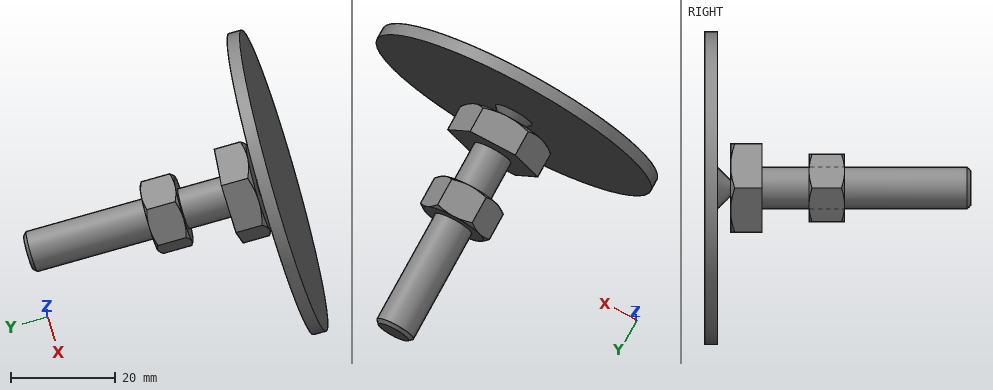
import cadquery as cq
import math

total_length = 51.0

plate_diameter = 60.0
plate_thickness = 2.5

neck_length = 2.5
neck_tip_diameter = 3.0
neck_base_diameter = neck_tip_diameter + 2 * neck_length

head_across_flats = 17.0
head_height = 6.0

thread_diameter = 8.0
thread_end_chamfer = 0.7

nut_across_flats = 13.0
nut_height = 6.8
nut_gap_from_head = 9.0

hex_sides = 6
corner_chamfer_angle = 30.0

head_start = plate_thickness + neck_length
head_end = head_start + head_height
nut_start = head_end + nut_gap_from_head


def section_plane(y_position):
    """Workplane square to the Y axis, with its normal toward +Y."""
    return cq.Workplane("XZ", origin=(0, y_position, 0)).transformed(rotate=(180, 0, 0))


def revolve_about_y(profile):
    """Turn a closed (radius, y) profile about the Y axis."""
    return cq.Workplane("XY").polyline(profile).close().revolve(360, (0, 0, 0), (0, 1, 0))


def hexagon(across_flats, y_start, height, chamfer_start, chamfer_end):
    """Hex prism with flats facing +Z and -Z; the chosen ends have conical corner chamfers."""
    flat_radius = across_flats / 2
    corner_radius = flat_radius / math.cos(math.pi / hex_sides)
    chamfer_depth = (corner_radius - flat_radius) * math.tan(math.radians(corner_chamfer_angle))
    y_end = y_start + height

    prism = section_plane(y_start).polygon(hex_sides, 2 * corner_radius).extrude(height)

    profile = [(0, y_start)]
    if chamfer_start:
        profile += [(flat_radius, y_start), (corner_radius, y_start + chamfer_depth)]
    else:
        profile += [(corner_radius, y_start)]
    if chamfer_end:
        profile += [(corner_radius, y_end - chamfer_depth), (flat_radius, y_end)]
    else:
        profile += [(corner_radius, y_end)]
    profile += [(0, y_end)]
    return prism.intersect(revolve_about_y(profile))


def make_plate():
    """Plain round base plate."""
    return section_plane(0).circle(plate_diameter / 2).extrude(plate_thickness)


def make_stud():
    """Conical neck, hex head and shank with a chamfered end."""
    neck = revolve_about_y([
        (0, plate_thickness),
        (neck_base_diameter / 2, plate_thickness),
        (neck_tip_diameter / 2, head_start),
        (0, head_start),
    ])
    head = hexagon(head_across_flats, head_start, head_height, chamfer_start=True, chamfer_end=False)
    shank = (
        section_plane(head_end)
        .circle(thread_diameter / 2)
        .extrude(total_length - head_end)
        .faces(">Y")
        .chamfer(thread_end_chamfer)
    )
    return neck.union(head).union(shank)


def make_nut():
    """Lock nut chamfered on both ends, bored to fit the shank."""
    blank = hexagon(nut_across_flats, nut_start, nut_height, chamfer_start=True, chamfer_end=True)
    bore = section_plane(nut_start).circle(thread_diameter / 2).extrude(nut_height)
    return blank.cut(bore)


plate = make_plate()
stud = make_stud()
nut = make_nut()

result = cq.Compound.makeCompound([plate.val(), stud.val(), nut.val()])